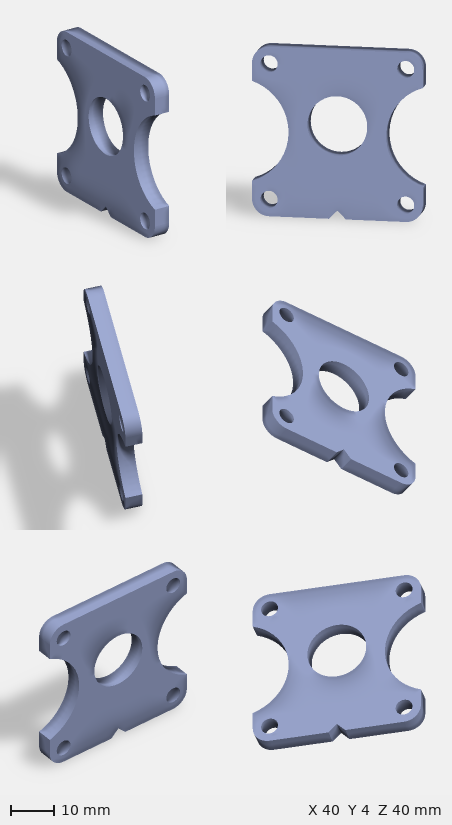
import cadquery as cq

side = 40.0
thickness = 4.0
corner_radius = 4.0

mount_hole_diameter = 4.0
mount_hole_spacing = side - 2 * corner_radius

bore_diameter = 14.0
bore_height = 2.0

scallop_radius = 12.4
scallop_depth = 8.55
scallop_center_x = side / 2 - scallop_depth + scallop_radius

notch_depth = 2.0
notch_half_width = notch_depth


def front_plane():
    """Sketch plane on the +Y face, extruding toward -Y through the plate."""
    return cq.Workplane("XZ", origin=(0, thickness / 2, 0))


def make_plate():
    plate = cq.Workplane("XY").box(side, thickness, side)
    return plate.edges("|Y").fillet(corner_radius)


def make_mount_holes():
    return (
        front_plane()
        .rect(mount_hole_spacing, mount_hole_spacing, forConstruction=True)
        .vertices()
        .circle(mount_hole_diameter / 2)
        .extrude(thickness)
    )


def make_bore():
    return front_plane().center(0, bore_height).circle(bore_diameter / 2).extrude(thickness)


def make_scallops():
    centers = [(-scallop_center_x, 0), (scallop_center_x, 0)]
    return front_plane().pushPoints(centers).circle(scallop_radius).extrude(thickness)


def make_notch():
    bottom = -side / 2
    corners = [
        (-notch_half_width, bottom),
        (0, bottom + notch_depth),
        (notch_half_width, bottom),
    ]
    return front_plane().polyline(corners).close().extrude(thickness)


result = (
    make_plate()
    .cut(make_mount_holes())
    .cut(make_bore())
    .cut(make_scallops())
    .cut(make_notch())
)